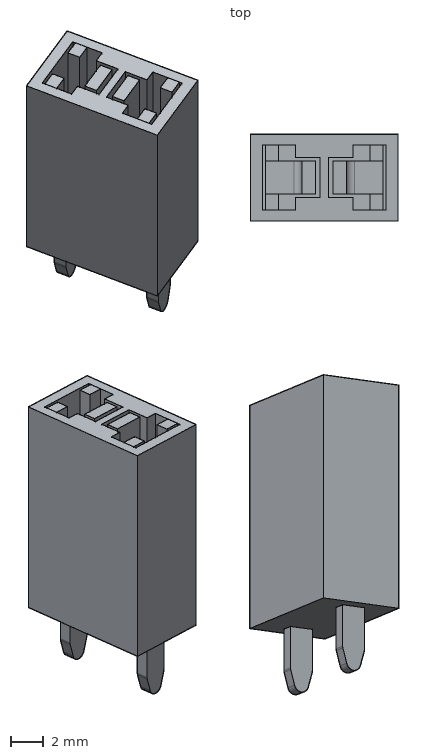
import cadquery as cq

length = 9.0
width = 5.3
total_height = 18.0
pin_length = 4.01
floor_thickness = 1.8

cavity_outer_x = 3.76
cavity_step_x = 1.75
cavity_inner_x = 0.25
cavity_width = 3.96
arm_chamber_width = 2.45

strip_thickness = 0.81
plate_outer_x = 3.58
arm_inner_x = 0.54
arm_width = 2.02
bend_inner_radius = 0.5

pin_width = 1.55
taper_start_z = 1.37
tip_start_z = 0.38
tip_width = 0.97
shoulder_radius = 0.36

cavity_floor_z = pin_length + floor_thickness
base_top_z = cavity_floor_z + strip_thickness
plate_inner_x = plate_outer_x - strip_thickness
bend_outer_radius = bend_inner_radius + strip_thickness


def box_between(x_min, x_max, y_width, z_min, z_max):
    """Box centred on Y = 0 between the given X and Z limits."""
    return (
        cq.Workplane("XY")
        .box(x_max - x_min, y_width, z_max - z_min, centered=(False, True, False))
        .translate((x_min, 0, z_min))
    )


def make_cavity():
    """Open-topped T-shaped cavity on the -X side, with the pin hole in its floor."""
    chamber = box_between(-cavity_outer_x, -cavity_step_x, cavity_width, cavity_floor_z, total_height)
    arm_chamber = box_between(
        -cavity_step_x, -cavity_inner_x, arm_chamber_width, cavity_floor_z, total_height
    )
    pin_hole = box_between(-plate_outer_x, -plate_inner_x, pin_width, pin_length, cavity_floor_z)
    return chamber.union(arm_chamber).union(pin_hole)


def make_housing():
    block = box_between(-length / 2, length / 2, width, pin_length, total_height)
    cavity = make_cavity()
    return block.cut(cavity).cut(cavity.mirror("YZ"))


def make_pin():
    """Flat pin reaching from the tip at Z = 0 up to the cavity floor."""
    pin = (
        cq.Workplane("YZ")
        .moveTo(-pin_width / 2, cavity_floor_z)
        .lineTo(-pin_width / 2, taper_start_z)
        .lineTo(-tip_width / 2, tip_start_z)
        .threePointArc((0, 0), (tip_width / 2, tip_start_z))
        .lineTo(pin_width / 2, taper_start_z)
        .lineTo(pin_width / 2, cavity_floor_z)
        .close()
        .extrude(strip_thickness)
        .translate((-plate_outer_x, 0, 0))
    )
    margin = 0.02
    shoulders = cq.selectors.BoxSelector(
        (-length, -width, taper_start_z - margin), (length, width, taper_start_z + margin)
    )
    return pin.edges(shoulders).fillet(shoulder_radius)


def make_forked_plate():
    """Upright plate whose upper part is split into two prongs."""
    plate = box_between(-plate_outer_x, -plate_inner_x, cavity_width, cavity_floor_z, total_height)
    gap = box_between(-plate_outer_x, -plate_inner_x, arm_width, base_top_z, total_height)
    return plate.cut(gap)


def make_spring_strip():
    """L-shaped strip: flat base, rounded bend and upright spring arm."""
    arm_face_x = -arm_inner_x - strip_thickness
    return (
        cq.Workplane("XZ")
        .moveTo(-plate_outer_x, cavity_floor_z)
        .lineTo(-arm_inner_x - bend_outer_radius, cavity_floor_z)
        .radiusArc((-arm_inner_x, cavity_floor_z + bend_outer_radius), -bend_outer_radius)
        .lineTo(-arm_inner_x, total_height)
        .lineTo(arm_face_x, total_height)
        .lineTo(arm_face_x, base_top_z + bend_inner_radius)
        .radiusArc((arm_face_x - bend_inner_radius, base_top_z), bend_inner_radius)
        .lineTo(-plate_outer_x, base_top_z)
        .close()
        .extrude(arm_width / 2, both=True)
    )


def make_contact(side):
    """Contact on the -X side (side = -1) or its mirror image on the +X side (side = 1)."""
    contact = make_pin().union(make_forked_plate()).union(make_spring_strip())
    return contact if side < 0 else contact.mirror("YZ")


housing = make_housing()
contacts = [make_contact(side) for side in (-1, 1)]

result = cq.Compound.makeCompound([housing.val(), *[contact.val() for contact in contacts]])